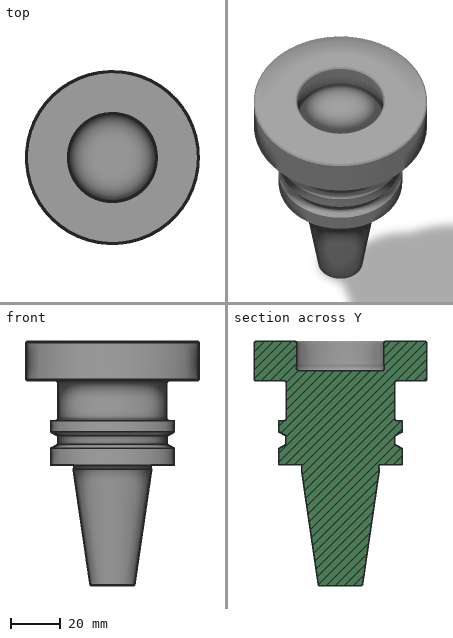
import cadquery as cq
import math

total_height = 98.8

head_diameter = 70.0
head_height = 16.0
head_chamfer = 0.6

neck_diameter = 44.1
neck_fillet = 0.8

flange_diameter = 50.0
flange_height = 18.0
upper_rim_height = 4.6
lower_rim_height = 6.7
groove_diameter = 44.3
groove_flank_height = 1.6

shank_length = 48.8
taper_large_diameter = 31.7
taper_small_diameter = 18.1
taper_clearance = 1.8
shank_relief_fillet = 0.4
tip_chamfer = 0.5

bore_diameter = 35.0
bore_depth = 11.8
bore_chamfer = 0.6
bore_relief_start = 9.4

relief_depth = 0.2
relief_angle = 15.0
bore_relief_fillet = 0.8

head_bottom = total_height - head_height
flange_bottom = shank_length
flange_top = flange_bottom + flange_height
taper_top = flange_bottom - taper_clearance
relief_ramp = relief_depth / math.tan(math.radians(relief_angle))


def revolve_outline(outline):
    """Close a half-section drawn in the XZ plane and spin it about the Z axis."""
    return outline.close().revolve(360, (0, 0), (0, 1))


def make_head():
    disc = cq.Workplane("XY").workplane(offset=head_bottom).circle(head_diameter / 2).extrude(head_height)
    return disc.edges().chamfer(head_chamfer)


def make_flange():
    """Flange with a V-shaped groove around its rim."""
    rim = flange_diameter / 2
    groove = groove_diameter / 2
    groove_bottom = flange_bottom + lower_rim_height
    groove_top = flange_top - upper_rim_height
    outline = (
        cq.Workplane("XZ")
        .moveTo(0, flange_bottom)
        .lineTo(rim, flange_bottom)
        .lineTo(rim, groove_bottom)
        .lineTo(groove, groove_bottom + groove_flank_height)
        .lineTo(groove, groove_top - groove_flank_height)
        .lineTo(rim, groove_top)
        .lineTo(rim, flange_top)
        .lineTo(0, flange_top)
    )
    return revolve_outline(outline)


def make_neck():
    """Neck cylinder flaring into both neighbours with a concave fillet."""
    radius = neck_diameter / 2
    flare = radius + neck_fillet
    outline = (
        cq.Workplane("XZ")
        .moveTo(0, flange_top)
        .lineTo(flare, flange_top)
        .radiusArc((radius, flange_top + neck_fillet), neck_fillet)
        .lineTo(radius, head_bottom - neck_fillet)
        .radiusArc((flare, head_bottom), neck_fillet)
        .lineTo(0, head_bottom)
    )
    return revolve_outline(outline)


def make_shank():
    """Tapered shank with a shallow relief between the taper and the flange."""
    large = taper_large_diameter / 2
    small = taper_small_diameter / 2
    relief = large - relief_depth
    outline = (
        cq.Workplane("XZ")
        .lineTo(small - tip_chamfer, 0)
        .lineTo(small, tip_chamfer)
        .lineTo(large, taper_top)
        .lineTo(relief, taper_top + relief_ramp)
        .lineTo(relief, flange_bottom - shank_relief_fillet)
        .radiusArc((relief + shank_relief_fillet, flange_bottom), shank_relief_fillet)
        .lineTo(0, flange_bottom)
    )
    return revolve_outline(outline)


def make_bore():
    """Cutter for the chamfered blind bore, widened by the relief above its floor."""
    wall = bore_diameter / 2
    relief = wall + relief_depth
    floor = total_height - bore_depth
    relief_top = total_height - bore_relief_start
    outline = (
        cq.Workplane("XZ")
        .moveTo(0, floor)
        .lineTo(relief - bore_relief_fillet, floor)
        .radiusArc((relief, floor + bore_relief_fillet), -bore_relief_fillet)
        .lineTo(relief, relief_top - relief_ramp)
        .lineTo(wall, relief_top)
        .lineTo(wall, total_height - bore_chamfer)
        .lineTo(wall + bore_chamfer, total_height)
        .lineTo(0, total_height)
    )
    return revolve_outline(outline)


body = make_head().union(make_neck()).union(make_flange()).union(make_shank())
result = body.cut(make_bore())